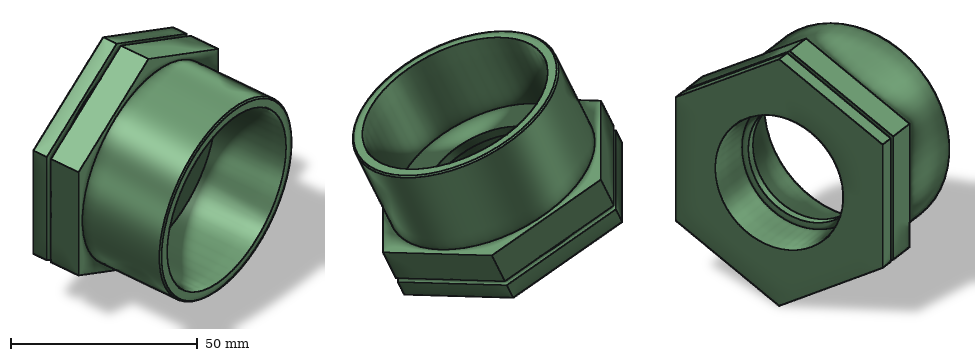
import cadquery as cq
import math

hex_across_corners = 72.75
hex_side = hex_across_corners / 2
hex_across_flats = hex_side * math.sqrt(3)

length = 41.0
groove_start = 4.5
groove_width = 1.4
flange_end = 15.05

body_diameter = 59.6
end_chamfer = 0.45
socket_diameter = 38.9
socket_depth = 15.0
bore_diameter = 35.1
land_width = 2.55
rear_diameter = 53.6


def cylinder(diameter, start, end):
    """Cylinder about the X axis between two X positions."""
    return cq.Workplane("YZ", origin=(start, 0, 0)).circle(diameter / 2).extrude(end - start)


def hex_plate(start, end):
    """Hexagonal plate with corners pointing along +Z and -Z."""
    corners = [
        (0, hex_side),
        (hex_across_flats / 2, hex_side / 2),
        (hex_across_flats / 2, -hex_side / 2),
        (0, -hex_side),
        (-hex_across_flats / 2, -hex_side / 2),
        (-hex_across_flats / 2, hex_side / 2),
    ]
    return cq.Workplane("YZ", origin=(start, 0, 0)).polyline(corners).close().extrude(end - start)


body = cylinder(body_diameter, 0, length).faces(">X").chamfer(end_chamfer)

body = body.union(hex_plate(0, groove_start))
body = body.union(hex_plate(groove_start + groove_width, flange_end))

land_end = socket_depth + land_width
body = body.cut(cylinder(socket_diameter, 0, socket_depth))
body = body.cut(cylinder(bore_diameter, socket_depth, land_end))
result = body.cut(cylinder(rear_diameter, land_end, length))